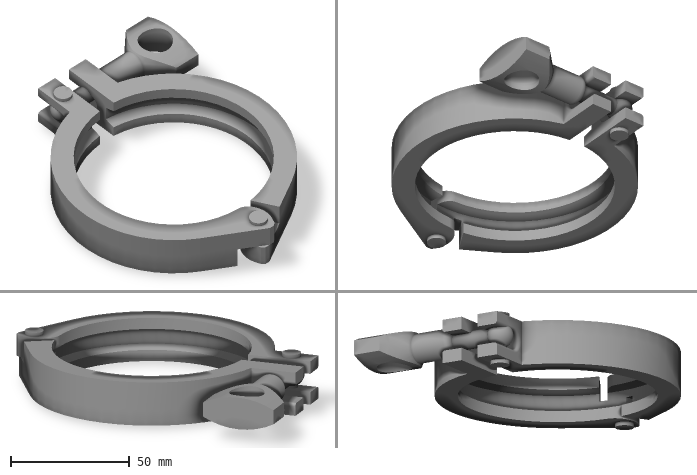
import cadquery as cq
import math

bore_radius = 42.2
outer_radius = 52.0
ring_height = 19.0
half_height = ring_height / 2

groove_radius = 47.1
groove_mouth_half_height = 4.6
groove_floor_half_height = 3.3

jaw_tip_x = -70.0
jaw_inner_y = 4.0
jaw_outer_y = 13.6
slot_height = 8.1
slot_end_center_x = -56.5
slot_edge_round = 1.4

hinge_x = 53.0
tangent_angle = math.radians(30)
lug_end_x = 60.1
lug_bore_y = 0.4
lug_crown = (52.2, 5.7)
lug_arc_end = (57.3, 4.5)
lug_flat_end = (58.9, 3.8)
lug_corner_y = 2.5
lug_tip_round = 6.8

pin_shaft_diameter = 5.5
pin_head_diameter = 8.0
pin_length = 22.3
pin_head_height = (pin_length - ring_height) / 2

bolt_x = -59.7
bolt_z = 1.9
bolt_diameter = 7.6
ball_radius = 5.5
ball_y = -(jaw_inner_y + jaw_outer_y) / 2

collar_diameter = 12.8
collar_start_y = 12.8
collar_end_y = 31.8
collar_round = 3.1
eye_diameter = 14.9
eye_y = 43.8
head_end_y = 54.0
head_width = 31.8
head_edge_height = 6.2
head_middle_height = 14.0


def cylinder_z(diameter, height):
    """Cylinder along Z, centred on the origin."""
    return cq.Workplane("XY", origin=(0, 0, -height / 2)).circle(diameter / 2).extrude(height)


def tangent_point_at_x(x):
    """Point at x on the straight run-out tangent to the outer circle of the lower half."""
    y = -(outer_radius - x * math.cos(tangent_angle)) / math.sin(tangent_angle)
    return x, y


def half_ring():
    """Lower (-Y) half ring with its jaw and full-height hinge lug."""
    jaw_root_x = -math.sqrt(outer_radius**2 - jaw_outer_y**2)
    jaw_bore_x = -math.sqrt(bore_radius**2 - jaw_inner_y**2)
    lug_bore_x = math.sqrt(bore_radius**2 - lug_bore_y**2)
    tangent_start = (
        outer_radius * math.cos(tangent_angle),
        -outer_radius * math.sin(tangent_angle),
    )
    return (
        cq.Workplane("XY", origin=(0, 0, -half_height))
        .moveTo(jaw_bore_x, -jaw_inner_y)
        .lineTo(jaw_tip_x, -jaw_inner_y)
        .lineTo(jaw_tip_x, -jaw_outer_y)
        .lineTo(jaw_root_x, -jaw_outer_y)
        .threePointArc((0, -outer_radius), tangent_start)
        .lineTo(*tangent_point_at_x(lug_end_x))
        .lineTo(lug_end_x, lug_corner_y)
        .lineTo(*lug_flat_end)
        .lineTo(*lug_arc_end)
        .threePointArc(lug_crown, (lug_bore_x, lug_bore_y))
        .threePointArc((0, -bore_radius), (jaw_bore_x, -jaw_inner_y))
        .close()
        .extrude(ring_height)
        .edges(cq.selectors.NearestToPointSelector((lug_bore_x, lug_bore_y, 0)))
        .fillet(lug_tip_round)
    )


def groove_cutter():
    return (
        cq.Workplane("XZ")
        .moveTo(0, -groove_mouth_half_height)
        .lineTo(bore_radius, -groove_mouth_half_height)
        .lineTo(groove_radius, -groove_floor_half_height)
        .lineTo(groove_radius, groove_floor_half_height)
        .lineTo(bore_radius, groove_mouth_half_height)
        .lineTo(0, groove_mouth_half_height)
        .close()
        .revolve(360, (0, 0), (0, 1))
    )


def knuckle_cutter():
    """Clears the lower half of the hinge, beyond a line square to the tangent run-out."""
    corner_x, corner_y = tangent_point_at_x(hinge_x)
    block_size = 2 * outer_radius
    return (
        cq.Workplane("XY")
        .rect(block_size, block_size / 2)
        .extrude(-half_height)
        .translate((0, block_size / 4, 0))
        .rotate((0, 0, 0), (0, 0, 1), -math.degrees(tangent_angle))
        .translate((corner_x, corner_y, 0))
    )


def cut_jaw_slot(half):
    """Open slot through the jaw, with a round inner end and rounded edges on the outside."""
    jaw_thickness = jaw_outer_y - jaw_inner_y
    slot_open_x = jaw_tip_x - slot_height
    slot_radius = slot_height / 2
    slot = (
        cq.Workplane("XZ", origin=(0, -jaw_inner_y, 0))
        .moveTo(slot_open_x, -slot_radius)
        .lineTo(slot_end_center_x, -slot_radius)
        .threePointArc(
            (slot_end_center_x + slot_radius, 0), (slot_end_center_x, slot_radius)
        )
        .lineTo(slot_open_x, slot_radius)
        .close()
        .extrude(jaw_thickness)
    )
    slotted = half.cut(slot)
    box_margin = 0.1
    rim_box = cq.selectors.BoxSelector(
        (
            jaw_tip_x - box_margin,
            -jaw_outer_y - box_margin,
            -slot_radius - box_margin,
        ),
        (
            slot_end_center_x + slot_radius + box_margin,
            -jaw_outer_y + box_margin,
            slot_radius + box_margin,
        ),
        boundingbox=True,
    )
    return slotted.edges(rim_box).fillet(slot_edge_round)


def clamp_half():
    """Lower clamp half; turning it half a turn about X gives its mate."""
    half = half_ring().cut(groove_cutter()).cut(knuckle_cutter())
    half = cut_jaw_slot(half)
    hinge_hole = cylinder_z(pin_shaft_diameter, ring_height).translate((hinge_x, 0, 0))
    return half.cut(hinge_hole)


def pin(x, y):
    """Pin with a flat head on each face of the clamp."""
    body = cylinder_z(pin_shaft_diameter, ring_height)
    for side in (-1, 1):
        head = cylinder_z(pin_head_diameter, pin_head_height)
        body = body.union(head.translate((0, 0, side * (pin_length - pin_head_height) / 2)))
    return body.translate((x, y, 0))


def bolt_envelope():
    """Ball-ended bolt before its pin hole is drilled."""
    shaft = (
        cq.Workplane("XZ", origin=(bolt_x, ball_y, bolt_z))
        .circle(bolt_diameter / 2)
        .extrude(-(collar_end_y - ball_y))
    )
    ball = cq.Workplane("XY").sphere(ball_radius).translate((bolt_x, ball_y, bolt_z))
    return shaft.union(ball)


def nut_envelope():
    """Eye nut before its holes: a lens-shaped head trimmed by a cone, plus a collar."""
    half_width = head_width / 2
    edge_z = head_edge_height / 2
    middle_z = head_middle_height / 2
    collar_radius = collar_diameter / 2
    head_length = head_end_y - collar_end_y
    lens = (
        cq.Workplane("XZ", origin=(0, collar_end_y, 0))
        .moveTo(-half_width, -edge_z)
        .threePointArc((0, -middle_z), (half_width, -edge_z))
        .lineTo(half_width, edge_z)
        .threePointArc((0, middle_z), (-half_width, edge_z))
        .close()
        .extrude(-head_length)
    )
    cone = (
        cq.Workplane("XY")
        .moveTo(0, collar_end_y)
        .lineTo(collar_radius, collar_end_y)
        .lineTo(collar_radius + head_length, head_end_y)
        .lineTo(0, head_end_y)
        .close()
        .revolve(360, (0, 0), (0, 1))
    )
    collar = (
        cq.Workplane("XZ", origin=(0, collar_start_y, 0))
        .circle(collar_radius)
        .extrude(-(collar_end_y - collar_start_y))
        .faces("<Y")
        .edges()
        .fillet(collar_round)
    )
    return lens.intersect(cone).union(collar).translate((bolt_x, 0, bolt_z))


bolt_blank = bolt_envelope()
nut_blank = nut_envelope()
bolt_pin_hole = cylinder_z(pin_shaft_diameter, ring_height).translate((bolt_x, ball_y, 0))
swing_bolt = bolt_blank.cut(bolt_pin_hole)
eye_hole = cylinder_z(eye_diameter, 2 * ring_height).translate((bolt_x, eye_y, 0))
eye_nut = nut_blank.cut(eye_hole).cut(bolt_blank)

lower_clamp = clamp_half().cut(bolt_pin_hole).cut(bolt_blank)
upper_clamp = (
    clamp_half().rotate((0, 0, 0), (1, 0, 0), 180).cut(bolt_blank).cut(nut_blank)
)

pins = [pin(x, y).val() for x, y in ((hinge_x, 0), (bolt_x, ball_y))]

result = cq.Compound.makeCompound(
    [lower_clamp.val(), upper_clamp.val(), swing_bolt.val(), eye_nut.val(), *pins]
)